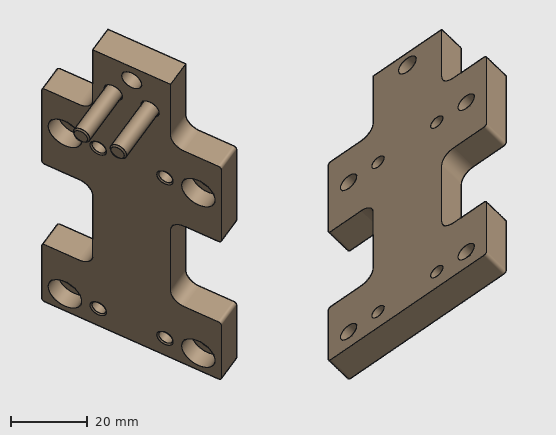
import cadquery as cq

height = 112.4
plate_width = 54.0
neck_width = 23.4
plate_thickness = 8.0
lower_wing_top = 23.5
upper_wing_bottom = 56.5
upper_wing_top = 87.5
neck_fillet = 4.0
corner_round = 1.0

lower_row_z = 7.0
row_spacing = 66.0
row_heights = (lower_row_z, lower_row_z + row_spacing)
screw_spacing = 40.0
screw_hole_diameter = 5.5
counterbore_diameter = 10.0
counterbore_depth = 5.0
tapped_spacing = screw_spacing / 2
tapped_diameter = 4.2
tapped_mouth_diameter = 5.0

top_hole_diameter = 6.0
top_hole_z = height - 5.4

pin_diameter = 5.0
pin_tip_chamfer = 0.5
pin_spacing = 11.0
pin_z = 98.6
clearance_hole_diameter = screw_hole_diameter
clearance_hole_depth = plate_thickness - counterbore_depth
total_depth = 25.0
pin_projection = total_depth - plate_thickness


def pair(spacing, z):
    """Two (x, z) points at one height, placed evenly about X = 0."""
    return [(-spacing / 2, z), (spacing / 2, z)]


def round_bars(diameter, points, front_y, back_y):
    """Round bars along Y at the given (x, z) points, from front_y to back_y."""
    bars = cq.Workplane("XZ", origin=(0, back_y, 0)).pushPoints(points)
    return bars.circle(diameter / 2).extrude(back_y - front_y)


def slab(width, bottom, top):
    """Rectangular slab of the plate thickness, centred on X = 0."""
    box = cq.Workplane("XY").box(width, plate_thickness, top - bottom, centered=(True, False, False))
    return box.translate((0, 0, bottom))


def wing(bottom, top):
    """Full-width slab with rounded outer corners."""
    return slab(plate_width, bottom, top).edges("|Y").fillet(corner_round)


def plate_blank():
    """Neck with two wings, filleted where each wing meets the neck."""
    blank = slab(neck_width, 0, height)
    blank = blank.union(wing(0, lower_wing_top))
    blank = blank.union(wing(upper_wing_bottom, upper_wing_top))

    corner_zone_x = neck_width / 2 + neck_fillet
    inner_corners = cq.selectors.BoxSelector(
        (-corner_zone_x, 0, 0),
        (corner_zone_x, plate_thickness, upper_wing_top + neck_fillet),
    )
    return blank.edges("|Y").edges(inner_corners).fillet(neck_fillet)


def cut_screw_holes(plate):
    """Through holes with counterbores in the front face."""
    points = [point for z in row_heights for point in pair(screw_spacing, z)]
    plate = plate.cut(round_bars(screw_hole_diameter, points, 0, plate_thickness))
    return plate.cut(round_bars(counterbore_diameter, points, 0, counterbore_depth))


def cut_tapped_holes(plate):
    """Through holes with a 45 degree chamfer at the front mouth."""
    points = [point for z in row_heights for point in pair(tapped_spacing, z)]
    plate = plate.cut(round_bars(tapped_diameter, points, 0, plate_thickness))
    mouth_radius = tapped_mouth_diameter / 2
    for x, z in points:
        cone = cq.Solid.makeCone(mouth_radius, 0, mouth_radius, cq.Vector(x, 0, z), cq.Vector(0, 1, 0))
        plate = plate.cut(cq.Workplane(cone))
    return plate


def cut_neck_holes(plate):
    """Top through hole and the two blind clearance holes that hold the pins."""
    plate = plate.cut(round_bars(top_hole_diameter, [(0, top_hole_z)], 0, plate_thickness))
    pin_points = pair(pin_spacing, pin_z)
    return plate.cut(round_bars(clearance_hole_diameter, pin_points, 0, clearance_hole_depth))


def make_plate():
    """Finished plate with all its holes."""
    return cut_neck_holes(cut_tapped_holes(cut_screw_holes(plate_blank())))


def make_pin(x, z):
    """Round pin that stands on the floor of its clearance hole, chamfered at its front tip."""
    pin = round_bars(pin_diameter, [(x, z)], -pin_projection, clearance_hole_depth)
    return pin.faces("<Y").chamfer(pin_tip_chamfer)


plate = make_plate()
pins = [make_pin(x, z) for x, z in pair(pin_spacing, pin_z)]

result = cq.Compound.makeCompound([plate.val(), *[pin.val() for pin in pins]])